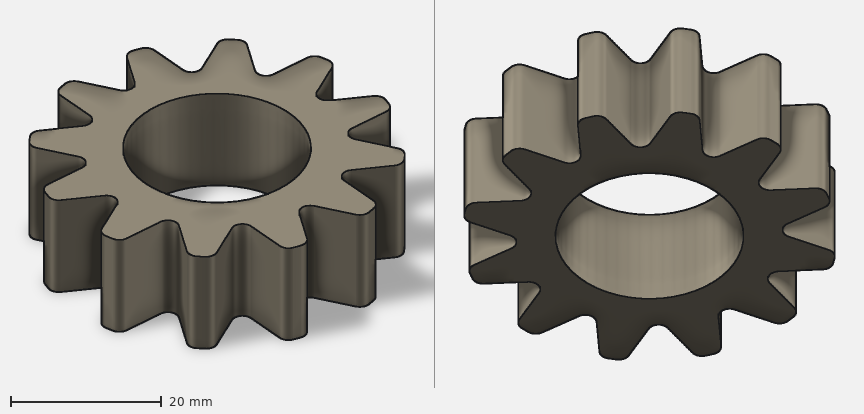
import cadquery as cq
import math

tip_diameter = 50.0
core_diameter = 30.0
bore_diameter = 25.0
thickness = 15.0
tooth_count = 12
flank_angle = 15.0
tip_width = 3.4
tip_rounding = 1.5
root_rounding = 1.5

tip_radius = tip_diameter / 2
core_radius = core_diameter / 2
bore_radius = bore_diameter / 2
pitch_angle = 360 / tooth_count


def tooth_blank():
    """Tapered tooth along +X, reaching from inside the rim core to past the tip circle."""
    inner = (bore_radius + core_radius) / 2
    outer = tip_radius + tip_rounding
    taper = math.tan(math.radians(flank_angle))
    inner_half = tip_width / 2 + (tip_radius - inner) * taper
    outer_half = tip_width / 2 + (tip_radius - outer) * taper
    corners = [(inner, -inner_half), (outer, -outer_half), (outer, outer_half), (inner, inner_half)]
    return cq.Workplane("XY").polyline(corners).close().extrude(thickness)


def edges_between(body, inner, outer):
    """Upright edges of the body whose distance from the axis lies in a range."""
    edges = body.edges("|Z").vals()
    chosen = [e for e in edges if inner < math.hypot(e.Center().x, e.Center().y) < outer]
    return body.newObject(chosen)


gear = cq.Workplane("XY").circle(core_radius).extrude(thickness)
tooth = tooth_blank()
for i in range(tooth_count):
    gear = gear.union(tooth.rotate((0, 0, 0), (0, 0, 1), i * pitch_angle))
gear = gear.intersect(cq.Workplane("XY").circle(tip_radius).extrude(thickness))

middle_radius = (core_radius + tip_radius) / 2
gear = edges_between(gear, middle_radius, tip_radius + tip_rounding).fillet(tip_rounding)
gear = edges_between(gear, 0, middle_radius).fillet(root_rounding)

bore = cq.Workplane("XY").circle(bore_radius).extrude(thickness)
result = gear.cut(bore)